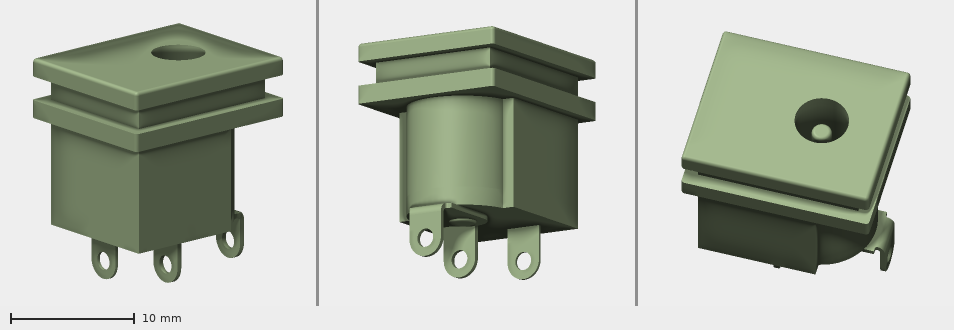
import cadquery as cq
import math


flange_width = 13.0
flange_depth = 15.7
flange_corner_radius = 0.3
body_width = 10.85
body_depth = 13.4
housing_top = 14.0
top_flange_thickness = 1.5
neck_height = 2.0
lower_flange_thickness = 1.5
bore_radius = 2.2
bore_y = 2.16
block_back_y = 3.11

base_thickness = 1.5

lug_width = 3.0
lug_drop = 4.3
lug_hole_diameter = 1.5
lug_spacing = 4.0
lug_thickness = 0.4
thin_lug_thickness = 0.25
middle_lug_y = -0.73
front_lug_y = -3.95

pin_radius = 0.82
pin_top_drop = 1.5
pin_tip_fillet = 0.3
shoulder_radius = 1.12
rivet_height = 0.2
rivet_fillet = 0.18
plate_radius = 2.0
plate_back_y = 7.06
inner_corner_fillet = 0.18
bend_outer_radius = 0.75

half_body_depth = body_depth / 2
barrel_radius = half_body_depth - bore_y
top_flange_bottom = housing_top - top_flange_thickness
lower_flange_top = top_flange_bottom - neck_height
lower_flange_bottom = lower_flange_top - lower_flange_thickness
lug_radius = lug_width / 2
contact_back_y = flange_depth / 2
plate_front_y = bore_y - plate_radius
bend_inner_radius = bend_outer_radius - lug_thickness
bend_start_y = contact_back_y - bend_outer_radius


def layer(bottom):
    """Workplane parallel to XY at the given height."""
    return cq.Workplane("XY").workplane(offset=bottom)


def body_section(bottom, height):
    """Rectangular block with a round barrel, coaxial with the bore, at its back."""
    block_depth = block_back_y + half_body_depth
    block_centre_y = (block_back_y - half_body_depth) / 2
    block = layer(bottom).center(0, block_centre_y).rect(body_width, block_depth).extrude(height)
    barrel = layer(bottom).center(0, bore_y).circle(barrel_radius).extrude(height)
    return block.union(barrel)


def flange(bottom, thickness):
    """Rectangular flange with rounded vertical edges."""
    plate = layer(bottom).rect(flange_width, flange_depth).extrude(thickness)
    return plate.edges("|Z").fillet(flange_corner_radius)


def make_housing():
    """Flanged housing with the plug bore running down to the base."""
    lower_body = body_section(base_thickness, lower_flange_bottom - base_thickness)
    lower_flange = flange(lower_flange_bottom, lower_flange_thickness)
    neck = layer(lower_flange_top).rect(body_width, body_depth).extrude(neck_height)
    top_flange = flange(top_flange_bottom, top_flange_thickness)
    top_flange = top_flange.faces(">Z").edges().fillet(flange_corner_radius)
    bore = layer(base_thickness).center(0, bore_y).circle(bore_radius).extrude(housing_top - base_thickness)
    return lower_body.union(lower_flange).union(neck).union(top_flange).cut(bore)


def make_base():
    """Base plate with a hole for the shoulder of the centre contact."""
    shoulder_hole = cq.Workplane("XY").center(0, bore_y).circle(shoulder_radius).extrude(base_thickness)
    return body_section(0, base_thickness).cut(shoulder_hole)


def make_lug(x, back_y, thickness, top):
    """Upright lug with a round lower end and a wire hole concentric with it."""
    end_z = lug_radius - lug_drop
    strip = (
        cq.Workplane("XZ", origin=(x, back_y, 0))
        .moveTo(-lug_radius, top)
        .lineTo(-lug_radius, end_z)
        .threePointArc((0, -lug_drop), (lug_radius, end_z))
        .lineTo(lug_radius, top)
        .close()
        .extrude(thickness)
    )
    hole = (
        cq.Workplane("XZ", origin=(x, back_y, end_z))
        .circle(lug_hole_diameter / 2)
        .extrude(thickness)
    )
    return strip.cut(hole)


def bend_midpoint(radius):
    """Y and Z of the point halfway round the bend at the given radius."""
    offset = radius * math.sqrt(0.5)
    return (bend_start_y + offset, offset - bend_outer_radius)


def make_bent_plate():
    """Bearing plate, round at the pin end, that narrows to the lug width and bends down at the back."""
    strip = (
        cq.Workplane("YZ", origin=(-plate_radius, 0, 0))
        .moveTo(plate_front_y, 0)
        .lineTo(bend_start_y, 0)
        .threePointArc(bend_midpoint(bend_outer_radius), (contact_back_y, -bend_outer_radius))
        .lineTo(contact_back_y - lug_thickness, -bend_outer_radius)
        .threePointArc(bend_midpoint(bend_inner_radius), (bend_start_y, -lug_thickness))
        .lineTo(plate_front_y, -lug_thickness)
        .close()
        .extrude(2 * plate_radius)
    )
    outline = (
        layer(-bend_outer_radius)
        .moveTo(-plate_radius, bore_y)
        .threePointArc((0, plate_front_y), (plate_radius, bore_y))
        .lineTo(plate_radius, plate_back_y)
        .lineTo(lug_radius, plate_back_y)
        .lineTo(lug_radius, contact_back_y)
        .lineTo(-lug_radius, contact_back_y)
        .lineTo(-lug_radius, plate_back_y)
        .lineTo(-plate_radius, plate_back_y)
        .close()
        .extrude(bend_outer_radius)
    )
    inner_corners = cq.selectors.BoxSelector(
        (-lug_radius - inner_corner_fillet, plate_back_y - inner_corner_fillet, -bend_outer_radius),
        (lug_radius + inner_corner_fillet, plate_back_y + inner_corner_fillet, 0),
    )
    outline = outline.edges("|Z").edges(inner_corners).fillet(inner_corner_fillet)
    return strip.intersect(outline)


def make_pin():
    """Stepped pin: rivet head below the plate, shoulder in the base, rounded tip in the bore."""
    head_bottom = -lug_thickness - rivet_height
    pin_length = housing_top - pin_top_drop - base_thickness
    shoulder = (
        layer(head_bottom)
        .center(0, bore_y)
        .circle(shoulder_radius)
        .extrude(base_thickness - head_bottom)
        .faces("<Z")
        .edges()
        .fillet(rivet_fillet)
    )
    shaft = (
        layer(base_thickness)
        .center(0, bore_y)
        .circle(pin_radius)
        .extrude(pin_length)
        .faces(">Z")
        .edges()
        .fillet(pin_tip_fillet)
    )
    return shoulder.union(shaft)


def make_centre_contact():
    """Pin, bent bearing plate and rear lug as one piece."""
    rear_lug = make_lug(0, contact_back_y, lug_thickness, -bend_outer_radius)
    return make_bent_plate().union(rear_lug).union(make_pin())


housing = make_housing()
base = make_base()
centre_contact = make_centre_contact()

straight_lug_places = [
    (-lug_spacing / 2, front_lug_y, thin_lug_thickness),
    (lug_spacing / 2, middle_lug_y, lug_thickness),
]
straight_lugs = [
    make_lug(x, mid_y + thickness / 2, thickness, 0) for x, mid_y, thickness in straight_lug_places
]

result = cq.Compound.makeCompound(
    [housing.val(), base.val(), centre_contact.val()] + [lug.val() for lug in straight_lugs]
)